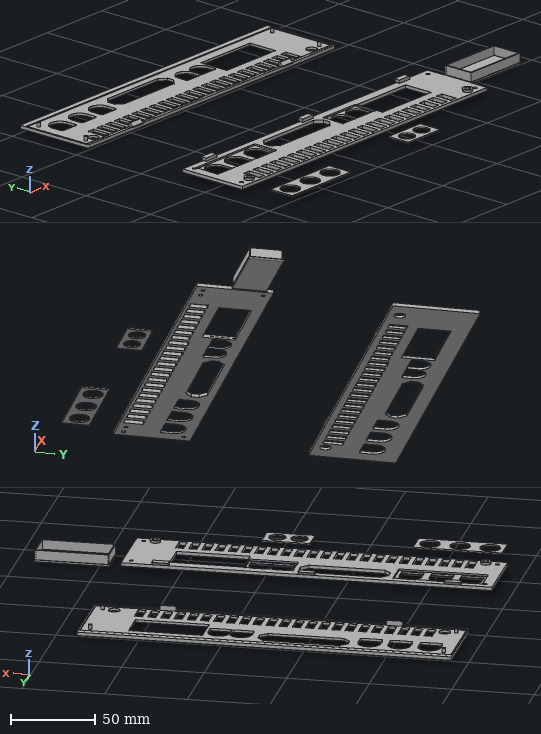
import cadquery as cq

BEZEL_LENGTH = 227.0
BEZEL_HEIGHT = 53.2
BEZEL_THICKNESS = 2.2
BEZEL_LOWER_CORNER_RADIUS = 1.5
BEZEL_UPPER_CORNER_RADIUS = 0.7
CENTRE_X = BEZEL_LENGTH / 2

SIDE_RIM = 1.0
LOWER_RIM = 2.2
RECESS_DEPTH = 0.5
FLOOR_Z = BEZEL_THICKNESS - RECESS_DEPTH

PIN_DIAMETER = 2.0
PIN_TOP = 4.5
PIN_INSET = 6.5
PIN_ROWS = (7.3, 44.0)
PIN_HOLE_DIAMETER = 2.2

HOOK_LENGTH = 9.8
HOOK_SPACING = 137.0
HOOK_TOP = 4.8
HOOK_TIP_Z = 2.8
HOOK_REACH = 0.8
HOOK_TOP_WIDTH = 0.8

TRIPLE_PORT_COUNT = 3
TRIPLE_PORT_WIDTH = 13.5
TRIPLE_PORT_PITCH = 18.2
TRIPLE_PORT_X = 35.0
TRIPLE_PORT_AXIS_Y = 36.0
TWIN_PORT_COUNT = 2
TWIN_PORT_WIDTH = 13.2
TWIN_PORT_PITCH = 13.5
TWIN_PORT_X = 137.7
TWIN_PORT_AXIS_Y = 35.0
BEZEL_PORT_BOTTOM = 28.5
BEZEL_PORT_CORNER_RADIUS = 1.0
PANEL_PORT_BOTTOM = 28.8

CONNECTOR_X = 92.5
CONNECTOR_Y = 37.5
CONNECTOR_WIDTH = 54.3
CONNECTOR_HEIGHT = 13.0
CONNECTOR_CHAMFER = 4.2

WINDOW_LEFT = 153.0
WINDOW_BOTTOM = 22.0
WINDOW_WIDTH = 44.5
WINDOW_HEIGHT = 20.0

VENT_COUNT = 23
TALL_VENT_COUNT = 16
VENT_LEFT = 19.3
VENT_PITCH = 7.97
VENT_WIDTH = 4.8
VENT_BOTTOM = 4.5
TALL_VENT_HEIGHT = 11.8
SHORT_VENT_HEIGHT = 11.0

PANEL_LENGTH = BEZEL_LENGTH - 2 * SIDE_RIM
PANEL_HEIGHT = 46.7
PANEL_THICKNESS = 2.2
PANEL_TOP_Z = FLOOR_Z + PANEL_THICKNESS
PANEL_EDGE_Y = LOWER_RIM + PANEL_HEIGHT
PANEL_SHIFT = -121.2

BOSS_INSET = 13.5
BOSS_Y = 7.3
BOSS_TOP = 5.5
BOSS_BASE_DIAMETER = 6.0
BOSS_TOP_DIAMETER = 6.5
BOSS_CLEARANCE_DIAMETER = 6.7
SCREW_HOLE_DIAMETER = 2.2
COUNTERBORE_DIAMETER = 3.4
COUNTERBORE_DEPTH = 1.0

CLIP_COUNT = 3
CLIP_LENGTH = 9.8
CLIP_SPACING = 88.5
CLIP_WIDTH = 2.5
CLIP_OVERHANG = 1.7
CLIP_TOP = 6.0

COVER_THICKNESS = 1.0
COVER_Z = PANEL_TOP_Z - COVER_THICKNESS
COVER_BOTTOM_Y = 27.1
TRIPLE_COVER_LENGTH = 54.0
TRIPLE_COVER_HEIGHT = 17.0
TRIPLE_COVER_HOLE_DIAMETER = 12.0
TRIPLE_COVER_SHIFT = -179.0
TWIN_COVER_LENGTH = 29.5
TWIN_COVER_HEIGHT = 15.7
TWIN_COVER_HOLE_DIAMETER = 10.0
TWIN_COVER_SHIFT = -171.8

FLANGE_LEFT = 234.0
FLANGE_BOTTOM_Y = -99.3
FLANGE_LENGTH = 46.0
FLANGE_HEIGHT = 21.3
FLANGE_THICKNESS = 1.5
FLANGE_FILLET = 0.405
FLANGE_MARGIN = 0.42
BUTTON_WALL = 0.7
BUTTON_TOP = 6.0

CUTTER_HEIGHT = 8.5


def block(x, y, z, length, width, height):
    """A box given by its lowest corner and its sizes along X, Y and Z."""
    return cq.Workplane(origin=(x, y, z)).box(length, width, height, centered=False)


def rod(x, y, z, diameter, height):
    """An upright cylinder standing on height z."""
    return cq.Workplane(origin=(x, y, z)).circle(diameter / 2).extrude(height)


def side_profile(x, length, points):
    """A bar centred on x along X, with the given outline in Y and Z."""
    start = cq.Workplane("YZ", origin=(x - length / 2, 0, 0))
    return start.polyline(points).close().extrude(length)


def mirrored(inset):
    """The two X places at this distance from the left and right ends of the bezel."""
    return (inset, BEZEL_LENGTH - inset)


def spaced(centre, pitch, count):
    """X places of evenly spaced features around a centre."""
    first = centre - pitch * (count - 1) / 2
    return [first + pitch * i for i in range(count)]




def port_cutter(x, axis_y, width, bottom, corner_radius):
    """A port with a half-round top; the lower corners are rounded if a radius is given."""
    radius = width / 2
    cutter = (
        cq.Workplane()
        .moveTo(x - radius, bottom)
        .lineTo(x - radius, axis_y)
        .threePointArc((x, axis_y + radius), (x + radius, axis_y))
        .lineTo(x + radius, bottom)
        .close()
        .extrude(CUTTER_HEIGHT)
    )
    if corner_radius > 0:
        cutter = cutter.edges("|Z and <Y").fillet(corner_radius)
    return cutter


def cut_ports(plate, bottom, corner_radius):
    for x in spaced(TRIPLE_PORT_X, TRIPLE_PORT_PITCH, TRIPLE_PORT_COUNT):
        plate = plate.cut(port_cutter(x, TRIPLE_PORT_AXIS_Y, TRIPLE_PORT_WIDTH, bottom, corner_radius))
    for x in spaced(TWIN_PORT_X, TWIN_PORT_PITCH, TWIN_PORT_COUNT):
        plate = plate.cut(port_cutter(x, TWIN_PORT_AXIS_Y, TWIN_PORT_WIDTH, bottom, corner_radius))
    return plate


def cut_connector(plate):
    left = CONNECTOR_X - CONNECTOR_WIDTH / 2
    bottom = CONNECTOR_Y - CONNECTOR_HEIGHT / 2
    opening = block(left, bottom, 0, CONNECTOR_WIDTH, CONNECTOR_HEIGHT, CUTTER_HEIGHT)
    return plate.cut(opening.edges("|Z").chamfer(CONNECTOR_CHAMFER))


def cut_window(plate):
    return plate.cut(block(WINDOW_LEFT, WINDOW_BOTTOM, 0, WINDOW_WIDTH, WINDOW_HEIGHT, CUTTER_HEIGHT))


def cut_vents(plate):
    for i in range(VENT_COUNT):
        height = TALL_VENT_HEIGHT if i < TALL_VENT_COUNT else SHORT_VENT_HEIGHT
        left = VENT_LEFT + i * VENT_PITCH
        plate = plate.cut(block(left, VENT_BOTTOM, 0, VENT_WIDTH, height, CUTTER_HEIGHT))
    return plate


def cut_openings(plate, port_bottom, port_corner_radius):
    plate = cut_ports(plate, port_bottom, port_corner_radius)
    plate = cut_connector(plate)
    plate = cut_window(plate)
    return cut_vents(plate)




def bezel_plate():
    plate = block(0, 0, 0, BEZEL_LENGTH, BEZEL_HEIGHT, BEZEL_THICKNESS)
    plate = plate.edges("|Z and <Y").fillet(BEZEL_LOWER_CORNER_RADIUS)
    plate = plate.edges("|Z and >Y").fillet(BEZEL_UPPER_CORNER_RADIUS)
    return plate.cut(block(SIDE_RIM, LOWER_RIM, FLOOR_Z, PANEL_LENGTH, PANEL_HEIGHT, RECESS_DEPTH))


def add_pins(bezel):
    for x in mirrored(PIN_INSET):
        for y in PIN_ROWS:
            bezel = bezel.union(rod(x, y, 0, PIN_DIAMETER, PIN_TOP))
    return bezel


def add_hooks(bezel):
    profile = [
        (LOWER_RIM, BEZEL_THICKNESS),
        (LOWER_RIM, HOOK_TOP),
        (LOWER_RIM - HOOK_TOP_WIDTH, HOOK_TOP),
        (-HOOK_REACH, HOOK_TIP_Z),
        (-HOOK_REACH, BEZEL_THICKNESS),
    ]
    for x in spaced(CENTRE_X, HOOK_SPACING, 2):
        bezel = bezel.union(side_profile(x, HOOK_LENGTH, profile))
    return bezel


def make_bezel():
    bezel = cut_openings(bezel_plate(), BEZEL_PORT_BOTTOM, BEZEL_PORT_CORNER_RADIUS)
    for x in mirrored(BOSS_INSET):
        bezel = bezel.cut(rod(x, BOSS_Y, 0, BOSS_CLEARANCE_DIAMETER, CUTTER_HEIGHT))
    bezel = add_pins(bezel)
    return add_hooks(bezel)




def cover_blank(x, length, height):
    """The outline of a cover plate in its pocket, centred on x."""
    return block(x - length / 2, COVER_BOTTOM_Y, COVER_Z, length, height, COVER_THICKNESS)


def cut_cover_pockets(panel):
    panel = panel.cut(cover_blank(TRIPLE_PORT_X, TRIPLE_COVER_LENGTH, TRIPLE_COVER_HEIGHT))
    return panel.cut(cover_blank(TWIN_PORT_X, TWIN_COVER_LENGTH, TWIN_COVER_HEIGHT))


def cut_pin_holes(panel):
    for x in mirrored(PIN_INSET):
        for y in PIN_ROWS:
            panel = panel.cut(rod(x, y, 0, PIN_HOLE_DIAMETER, CUTTER_HEIGHT))
    return panel


def add_bosses(panel):
    for x in mirrored(BOSS_INSET):
        boss = (
            cq.Workplane(origin=(x, BOSS_Y, PANEL_TOP_Z))
            .circle(BOSS_BASE_DIAMETER / 2)
            .workplane(offset=BOSS_TOP - PANEL_TOP_Z)
            .circle(BOSS_TOP_DIAMETER / 2)
            .loft()
        )
        panel = panel.union(boss)
        panel = panel.cut(rod(x, BOSS_Y, 0, SCREW_HOLE_DIAMETER, CUTTER_HEIGHT))
        counterbore_z = BOSS_TOP - COUNTERBORE_DEPTH
        panel = panel.cut(rod(x, BOSS_Y, counterbore_z, COUNTERBORE_DIAMETER, COUNTERBORE_DEPTH))
    return panel


def add_clips(panel):
    profile = [
        (PANEL_EDGE_Y - CLIP_WIDTH, PANEL_TOP_Z),
        (PANEL_EDGE_Y - CLIP_WIDTH, CLIP_TOP),
        (PANEL_EDGE_Y + CLIP_OVERHANG, CLIP_TOP),
        (PANEL_EDGE_Y, PANEL_TOP_Z),
    ]
    for x in spaced(CENTRE_X, CLIP_SPACING, CLIP_COUNT):
        panel = panel.union(side_profile(x, CLIP_LENGTH, profile))
    return panel


def make_panel():
    panel = block(SIDE_RIM, LOWER_RIM, FLOOR_Z, PANEL_LENGTH, PANEL_HEIGHT, PANEL_THICKNESS)
    panel = cut_openings(panel, PANEL_PORT_BOTTOM, 0)
    panel = cut_cover_pockets(panel)
    panel = cut_pin_holes(panel)
    panel = add_bosses(panel)
    panel = add_clips(panel)
    return panel.translate((0, PANEL_SHIFT, 0))




def cut_cover_holes(cover, places, y, diameter):
    for x in places:
        cover = cover.cut(rod(x, y, 0, diameter, CUTTER_HEIGHT))
    return cover


def make_triple_cover():
    cover = cover_blank(TRIPLE_PORT_X, TRIPLE_COVER_LENGTH, TRIPLE_COVER_HEIGHT)
    places = spaced(TRIPLE_PORT_X, TRIPLE_PORT_PITCH, TRIPLE_PORT_COUNT)
    cover = cut_cover_holes(cover, places, TRIPLE_PORT_AXIS_Y, TRIPLE_COVER_HOLE_DIAMETER)
    return cover.translate((0, TRIPLE_COVER_SHIFT, 0))


def make_twin_cover():
    cover = cover_blank(TWIN_PORT_X, TWIN_COVER_LENGTH, TWIN_COVER_HEIGHT)
    places = spaced(TWIN_PORT_X, TWIN_PORT_PITCH, TWIN_PORT_COUNT)
    cover = cut_cover_holes(cover, places, TWIN_PORT_AXIS_Y, TWIN_COVER_HOLE_DIAMETER)
    return cover.translate((0, TWIN_COVER_SHIFT, 0))




def button_block(inset, z, height):
    """A box whose sides lie inside the flange outline by the inset."""
    length = FLANGE_LENGTH - 2 * inset
    width = FLANGE_HEIGHT - 2 * inset
    return block(FLANGE_LEFT + inset, FLANGE_BOTTOM_Y + inset, z, length, width, height)


def make_button():
    flange = button_block(0, -FLANGE_THICKNESS, FLANGE_THICKNESS)
    flange = flange.faces("<Z").edges().fillet(FLANGE_FILLET)
    body = button_block(FLANGE_MARGIN, 0, BUTTON_TOP)
    cavity = button_block(FLANGE_MARGIN + BUTTON_WALL, 0, BUTTON_TOP)
    return flange.union(body).cut(cavity)


bezel = make_bezel()
panel = make_panel()
triple_cover = make_triple_cover()
twin_cover = make_twin_cover()
button = make_button()

result = cq.Compound.makeCompound(
    [bezel.val(), panel.val(), triple_cover.val(), twin_cover.val(), button.val()]
)